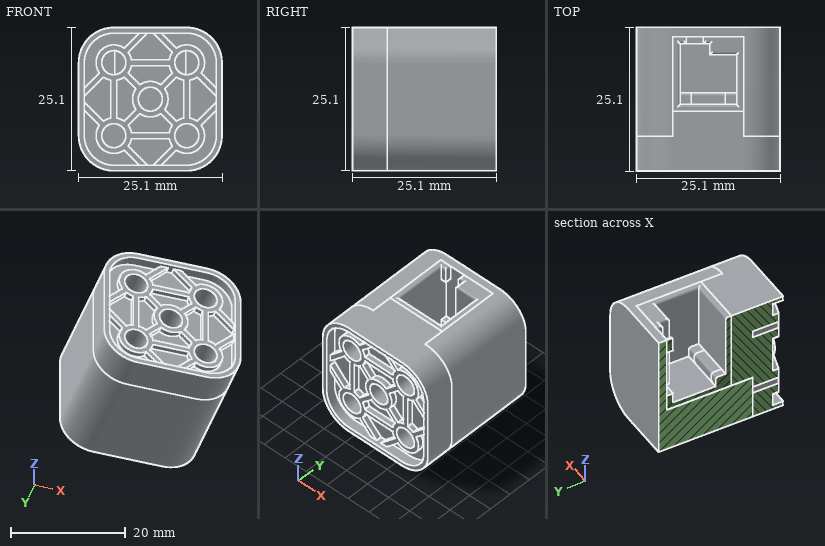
import cadquery as cq
import math

WIDTH = 25.1
LENGTH = 25.15
CORNER_RADIUS = 6.24
HALF_WIDTH = WIDTH / 2
FRONT_Y = -LENGTH / 2
BACK_Y = LENGTH / 2

CAP_THICKNESS = 6.14
WALL = 1.0
RIM_RADIUS = CORNER_RADIUS - WALL
RIB_DROP = 0.88
FLOOR_DROP = 2.0
HOLE_DIAMETER = 4.2
BOSS_DIAMETER = HOLE_DIAMETER + 2 * WALL
BOSS_PITCH = 12.75
CAP_BACK_Y = FRONT_Y + CAP_THICKNESS
RIB_FACE_Y = FRONT_Y + RIB_DROP
FLOOR_Y = FRONT_Y + FLOOR_DROP
BOSS_OFFSET = BOSS_PITCH / 2

SLOT_WIDTH = 12.4
SLOT_DEPTH = 16.0
TONGUE_LENGTH = 4.35
BACK_WALL = 1.65
SLOT_FLOOR_Z = HALF_WIDTH - SLOT_DEPTH
TONGUE_END_Y = CAP_BACK_Y + TONGUE_LENGTH
SLOT_BACK_Y = BACK_Y - BACK_WALL

JACK_WALL = 1.15
LATCH_LIP = 1.25
SOCKET_WIDTH = 9.85
SOCKET_HALF = SOCKET_WIDTH / 2
SOCKET_FRONT_Y = TONGUE_END_Y + JACK_WALL
LATCH_Y = SLOT_BACK_Y - LATCH_LIP
STEP_DEPTH = 1.9
STEP_Y = LATCH_Y - STEP_DEPTH
LATCH_BAY_WIDTH = 5.18
STEP_X = LATCH_BAY_WIDTH - SOCKET_HALF
NOTCH_WIDTH = 2.97
NOTCH_X = STEP_X - LATCH_BAY_WIDTH / 2
LIP_HEIGHT = 3.02
LATCH_BAY_STEP = 2.0
EDGE_RADIUS = 0.5
SOCKET_FLOOR_Z = SLOT_FLOOR_Z + JACK_WALL
LATCH_BAY_FLOOR_Z = SOCKET_FLOOR_Z + LATCH_BAY_STEP
LIP_BOTTOM_Z = HALF_WIDTH - LIP_HEIGHT

LEDGE_DEPTH = 2.0
LEDGE_HEIGHT = 2.0
CONTACT_WIDTH = 5.9


def box(x0, x1, y0, y1, z0, z1):
    """Box spanning the given limits."""
    return cq.Workplane("XY").box(x1 - x0, y1 - y0, z1 - z0, centered=False).translate((x0, y0, z0))


def facing_plane(y):
    """Workplane at the given Y whose normal points to +Y."""
    return cq.Workplane(cq.Plane(origin=(0, y, 0), xDir=(1, 0, 0), normal=(0, 1, 0)))


def rounded_prism(width, radius, y0, y1):
    """Square prism along Y with rounded long edges."""
    return facing_plane(y0).rect(width, width).extrude(y1 - y0).edges("|Y").fillet(radius)


def slot_block(y0, y1):
    """Block filling the slot section between two Y positions."""
    return box(-SLOT_WIDTH / 2, SLOT_WIDTH / 2, y0, y1, SLOT_FLOOR_Z, HALF_WIDTH)


def make_housing():
    body = rounded_prism(WIDTH, CORNER_RADIUS, CAP_BACK_Y, BACK_Y)
    return body.cut(slot_block(CAP_BACK_Y, SLOT_BACK_Y))


def rib(x, z, length, angle):
    """Straight rib in the cap recess, centred at (x, z) and turned about Y."""
    bar = cq.Workplane("XY").box(length, FLOOR_DROP - RIB_DROP, WALL)
    return bar.rotate((0, 0, 0), (0, 1, 0), angle).translate((x, (RIB_FACE_Y + FLOOR_Y) / 2, z))


def make_ribs(corners, hole_centers):
    """Web of bosses, straight ribs and diagonal ribs, before the holes are cut."""
    web = facing_plane(RIB_FACE_Y).pushPoints(hole_centers).circle(BOSS_DIAMETER / 2)
    web = web.extrude(FLOOR_DROP - RIB_DROP)
    for side in (-BOSS_OFFSET, BOSS_OFFSET):
        web = web.union(rib(0, side, BOSS_PITCH, 0))
        web = web.union(rib(side, 0, BOSS_PITCH, 90))
    for angle in (45, -45):
        web = web.union(rib(0, 0, BOSS_PITCH * math.sqrt(2), angle))
    for x, z in corners:
        across = 45 if x * z > 0 else -45
        web = web.union(rib(x, z, BOSS_PITCH * math.sqrt(2), across))
    return web


def make_cap():
    corners = [(x, z) for x in (-BOSS_OFFSET, BOSS_OFFSET) for z in (-BOSS_OFFSET, BOSS_OFFSET)]
    hole_centers = corners + [(0, 0)]
    recess = rounded_prism(WIDTH - 2 * WALL, RIM_RADIUS, FRONT_Y, FLOOR_Y)
    web = make_ribs(corners, hole_centers).intersect(recess)
    holes = facing_plane(FRONT_Y).pushPoints(hole_centers).circle(HOLE_DIAMETER / 2).extrude(CAP_THICKNESS)
    plate = rounded_prism(WIDTH, CORNER_RADIUS, FRONT_Y, CAP_BACK_Y)
    plate = plate.cut(recess).union(web).cut(holes)
    return plate.union(slot_block(CAP_BACK_Y, TONGUE_END_Y))


def make_socket():
    """Space inside the jack: plug opening, latch notch and the wider latch bay below the lip."""
    opening = (
        cq.Workplane("XY", origin=(0, 0, SOCKET_FLOOR_Z))
        .moveTo(-SOCKET_HALF, SOCKET_FRONT_Y)
        .lineTo(SOCKET_HALF, SOCKET_FRONT_Y)
        .lineTo(SOCKET_HALF, STEP_Y)
        .lineTo(STEP_X, STEP_Y)
        .lineTo(STEP_X, LATCH_Y)
        .lineTo(-SOCKET_HALF, LATCH_Y)
        .close()
        .extrude(HALF_WIDTH - SOCKET_FLOOR_Z)
    )
    notch_left = NOTCH_X - NOTCH_WIDTH / 2
    notch_right = NOTCH_X + NOTCH_WIDTH / 2
    notch = box(notch_left, notch_right, LATCH_Y, SLOT_BACK_Y, LATCH_BAY_FLOOR_Z, HALF_WIDTH)
    latch_bay = box(-SOCKET_HALF, STEP_X, LATCH_Y, SLOT_BACK_Y, LATCH_BAY_FLOOR_Z, LIP_BOTTOM_Z)
    return opening.union(notch).union(latch_bay)


def make_ledge(x0, x1):
    """Length of the contact ledge with a rounded upper edge."""
    ledge_y = SOCKET_FRONT_Y + LEDGE_DEPTH
    ledge = box(x0, x1, SOCKET_FRONT_Y, ledge_y, SOCKET_FLOOR_Z, SOCKET_FLOOR_Z + LEDGE_HEIGHT)
    return ledge.edges(">Y and >Z").fillet(EDGE_RADIUS)


def make_jack():
    body = slot_block(TONGUE_END_Y, SLOT_BACK_Y).cut(make_socket())
    margin = EDGE_RADIUS / 2
    mouth = cq.selectors.BoxSelector(
        (-SOCKET_HALF - margin, SOCKET_FRONT_Y - margin, HALF_WIDTH - margin),
        (SOCKET_HALF + margin, SLOT_BACK_Y - margin, HALF_WIDTH + margin),
    )
    body = body.edges(mouth).fillet(EDGE_RADIUS)
    for x0, x1 in ((-SOCKET_HALF, -CONTACT_WIDTH / 2), (CONTACT_WIDTH / 2, SOCKET_HALF)):
        body = body.union(make_ledge(x0, x1))
    return body


def make_contact_block():
    return make_ledge(-CONTACT_WIDTH / 2, CONTACT_WIDTH / 2)


housing = make_housing()
cap = make_cap()
jack = make_jack()
contact_block = make_contact_block()

bodies = [housing, cap, jack, contact_block]
result = cq.Compound.makeCompound([body.solids().val() for body in bodies])